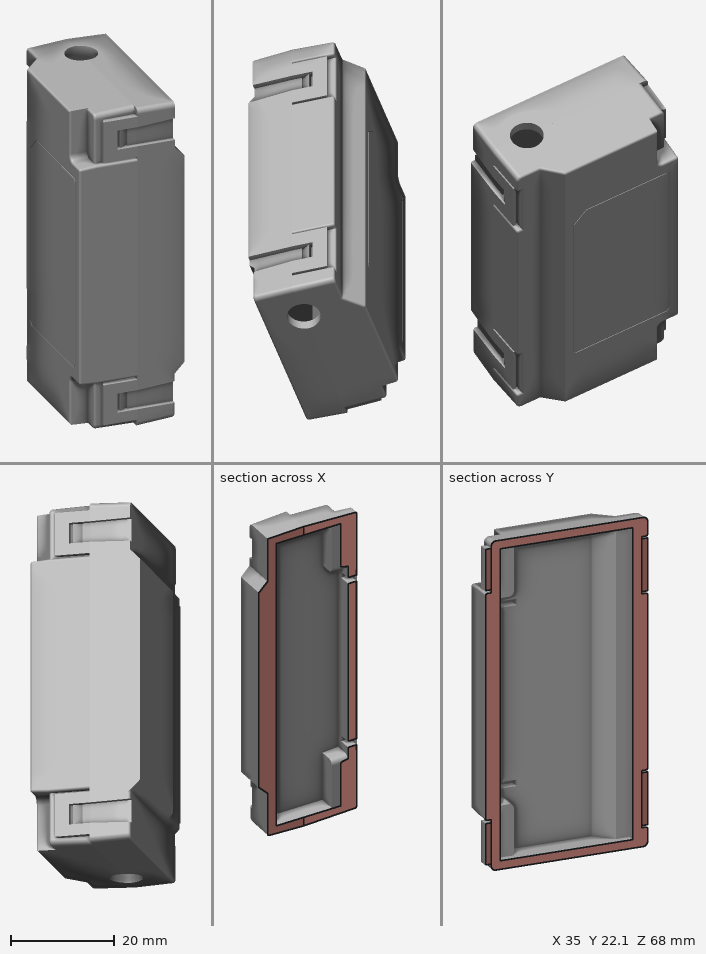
import cadquery as cq
import math

length = 68.0
width = 35.0
front_depth = 12.05
back_depth = 10.0
draft_angle = 2.0
corner_radius = 1.0
edge_radius = 0.5
wall = 2.05
half_width = width / 2
half_length = length / 2
margin = 3.4
edge_strip = 0.7
tolerance = 0.01

shoulder_depth = 8.5
bevel_front_x = -8.5
notch_x = 12.6
notch_z = 23.3
notch_radius = 1.0
notch_draft = 4.0

cable_x = -9.9
cable_diameter = 6.5

end_step_depth = 8.0
side_step_depth = 9.0
side_step_x = -7.55
plateau_half_length = 22.1
side_step_radius = 0.35
lower_edge_radius = 0.5

groove_floor_x = 16.1
groove_gap = 0.35
tongue_depth = 7.0
tongue_lead_width = 0.6
tongue_lead_height = 0.5
left_tongue_z = 24.0
left_tongue_length = 10.95
right_tongue_z = 28.15
right_tongue_length = 8.6
channel_width = 4.1
channel_depth = 1.0
window_near = 1.7
window_far = 4.15
catch_length = 1.7
catch_height = 1.0
catch_width = 3.8

label_x = 4.1
recess_width = 21.9
recess_length = 40.8
recess_depth = 0.1
recess_chamfer = 3.0
recess_radius = 1.0
label_gap = 0.3
slot_x = 10.6
slot_z = 18.55
slot_length = 4.75
slot_height = 1.3


def span_box(x_range, y_range, z_range):
    """Box between two limits along each axis, given in either order."""
    sizes = [abs(b - a) for a, b in (x_range, y_range, z_range)]
    middle = tuple((a + b) / 2 for a, b in (x_range, y_range, z_range))
    return cq.Workplane("XY").box(*sizes).translate(middle)


def prism_along_z(points, z_length, z_middle=0.0):
    """XY outline extruded along Z, half to each side of z_middle."""
    prism = cq.Workplane("XY").polyline(points).close().extrude(z_length / 2, both=True)
    return prism.translate((0, 0, z_middle))


def end_range(sign, near, far):
    """Limits from near to far on the positive or the negative side."""
    return tuple(sorted((sign * near, sign * far)))


def selection_box(x_range, y_range, z_range):
    """Selector for edges whose centres lie between two limits along each axis."""
    return cq.selectors.BoxSelector(*zip(x_range, y_range, z_range))


def drafted_half_width(y):
    """Half the width of the housing at a distance y from the parting plane."""
    return half_width - abs(y) * math.tan(math.radians(draft_angle))


def drafted_block(depth, toward_front):
    """Block that narrows from the parting plane, with rounded long corners."""
    distance = depth if toward_front else -depth
    block = cq.Workplane("XZ").rect(width, length).extrude(distance, taper=draft_angle)
    long_corners = block.edges("not(|X or |Z)")
    return long_corners.fillet(corner_radius)


def snap_places():
    """(side along X, end along Z, tongue middle Z, tongue length) for the four tongues."""
    for end in (1, -1):
        yield -1, end, end * left_tongue_z, left_tongue_length
        yield 1, end, end * right_tongue_z, right_tongue_length


def cable_hole():
    """Round hole along Z through both ends, centred on the parting plane."""
    circle = cq.Workplane("XY").center(cable_x, 0).circle(cable_diameter / 2)
    return circle.extrude(half_length + margin, both=True)


def label_plate(inset):
    """Thin plate shaped like the label recess, smaller by inset all round, flush with the front."""
    plate_width = recess_width - 2 * inset
    plate_length = recess_length - 2 * inset
    corner = recess_chamfer - inset * (2 - math.sqrt(2))
    plate = cq.Workplane("XY").box(plate_width, recess_depth, plate_length)
    plate = plate.edges("|Y and <X and >Z").chamfer(corner)
    plate = plate.edges("|Y").edges(">X or <Z").fillet(recess_radius - inset)
    return plate.translate((label_x, -front_depth + recess_depth / 2, 0))


def shoulder_cutter(inset=0.0):
    """Everything in front of the -X shoulder and its bevel, moved inwards by inset."""
    step = front_depth - shoulder_depth
    shift = inset * math.tan(math.pi / 8)
    y_front = -front_depth + inset
    y_shoulder = -shoulder_depth + inset
    x_front = bevel_front_x + shift
    x_shoulder = x_front - step
    x_out = -half_width - margin
    return prism_along_z(
        [
            (x_out, y_shoulder),
            (x_shoulder, y_shoulder),
            (x_front, y_front),
            (x_front + margin, y_front - margin),
            (x_out, y_front - margin),
        ],
        length + 2 * margin,
    )


def corner_notch(end, grow=0.0):
    """Cutter for a +X corner of the front, down to the shoulder depth, widening towards the front."""
    x_inner = notch_x - grow
    z_inner = notch_z - grow
    x_size = half_width + margin - x_inner
    z_size = half_length + margin - z_inner
    outline = cq.Sketch().rect(x_size, z_size).vertices().fillet(notch_radius)
    origin = (x_inner + x_size / 2, grow - shoulder_depth, end * (z_inner + z_size / 2))
    return cq.Workplane("XZ", origin=origin).placeSketch(outline).extrude(front_depth, taper=-notch_draft)


def groove(side, end, z_middle, tongue_length):
    """Space for a tongue; a +X groove runs from the side of the corner notch out through the end."""
    if side < 0:
        reach = tongue_length / 2 + groove_gap
        z_range = (z_middle - reach, z_middle + reach)
    else:
        z_range = (end * notch_z, end * (half_length + margin))
    return span_box((side * groove_floor_x, side * (half_width + margin)), (0, -front_depth), z_range)


def front_cavity():
    """Hollow of the front shell, kept a wall away from the shoulder and the corner notches."""
    cavity = span_box(
        (-groove_floor_x + wall, groove_floor_x - wall),
        (margin, -front_depth + wall),
        (-half_length + wall, half_length - wall),
    )
    cavity = cavity.cut(shoulder_cutter(wall))
    for end in (1, -1):
        cavity = cavity.cut(corner_notch(end, wall))
    return cavity


def catch(side, z_middle):
    """Ramp on the groove floor that reaches into the tongue window."""
    x_floor = side * groove_floor_x
    x_root = side * (groove_floor_x - wall / 2)
    y_high = -window_near - catch_length
    return prism_along_z(
        [
            (x_root, -window_near),
            (x_floor, -window_near),
            (x_floor + side * catch_height, y_high),
            (x_root, y_high),
        ],
        catch_width,
        z_middle,
    )


def round_groove_ends(shell):
    """Fillet where the floors of the +X grooves run out through the ends."""
    floor_x = (groove_floor_x - tolerance, groove_floor_x + tolerance)
    inside_y = (tolerance - shoulder_depth, -tolerance)
    picked = []
    for end in (1, -1):
        end_z = end_range(end, half_length - edge_strip, length)
        picked += shell.edges(selection_box(floor_x, inside_y, end_z)).vals()
    return shell.newObject(picked).fillet(corner_radius)


def round_front_edges(shell):
    """Fillet the edges of the front face, bevel, shoulder and notch floors, and the groove sides."""
    anywhere = (-length, length)
    front_y = (-front_depth - tolerance, -front_depth + tolerance)
    shoulder_y = (-shoulder_depth - tolerance, -shoulder_depth + tolerance)
    bevel_x = bevel_front_x - (front_depth - shoulder_depth) / 2
    boxes = [
        (anywhere, front_y, anywhere),
        ((-half_width, bevel_front_x), shoulder_y, anywhere),
        ((bevel_x - tolerance, bevel_x + tolerance), (-front_depth, -shoulder_depth), anywhere),
        ((groove_floor_x - tolerance, half_width), shoulder_y, anywhere),
    ]
    for end in (1, -1):
        end_z = end_range(end, half_length - edge_strip, half_length)
        boxes.append(((notch_x, groove_floor_x), shoulder_y, end_z))
        groove_z = end_range(end, left_tongue_z - left_tongue_length, half_length - corner_radius)
        for side in (1, -1):
            side_x = end_range(side, half_width - edge_strip, half_width)
            boxes.append((side_x, (-front_depth + tolerance, -tolerance), groove_z))
    picked = []
    for box in boxes:
        found = shell.edges(selection_box(*box)).vals()
        picked += [edge for edge in found if not any(map(edge.isSame, picked))]
    return shell.newObject(picked).fillet(edge_radius)


def label_slots():
    """Two slots through the front wall, covered by the label panel."""
    centres = [(slot_x, slot_z), (slot_x, -slot_z)]
    slots = cq.Workplane("XZ", origin=(0, -front_depth, 0)).pushPoints(centres)
    return slots.rect(slot_length, slot_height).extrude(-wall - margin)


def make_front_shell():
    shell = drafted_block(front_depth, True).cut(shoulder_cutter())
    for end in (1, -1):
        shell = shell.cut(corner_notch(end))
    for place in snap_places():
        shell = shell.cut(groove(*place))
    shell = round_groove_ends(shell)
    shell = round_front_edges(shell)
    shell = shell.cut(front_cavity()).cut(cable_hole())
    shell = shell.cut(label_plate(0)).cut(label_slots())
    for side, _, z_middle, _ in snap_places():
        shell = shell.union(catch(side, z_middle))
    return shell


def channel(side, z_middle):
    """Cut along Y, of even depth below the drafted side, that starts at the far edge of the window."""
    y_back = back_depth + margin
    x_out = side * (half_width + margin)
    depth_profile = prism_along_z(
        [
            (side * (drafted_half_width(window_far) - channel_depth), -window_far),
            (side * (half_width - channel_depth), 0),
            (side * (drafted_half_width(y_back) - channel_depth), y_back),
            (x_out, y_back),
            (x_out, -window_far),
        ],
        2 * channel_width,
        z_middle,
    )
    near = channel_width / 2
    wide = near + y_back * math.tan(math.radians(draft_angle))
    outline = [
        (-window_far, -near),
        (0, -near),
        (y_back, -wide),
        (y_back, wide),
        (0, near),
        (-window_far, near),
    ]
    widening = cq.Workplane("YZ").polyline(outline).close().extrude(half_width + margin, both=True)
    return depth_profile.intersect(widening.translate((0, 0, z_middle)))


def tongue(side, z_middle, tongue_length):
    """Tongue flush with the drafted side, with a catch window and a lead-in bevel inside its tip."""
    x_in = side * groove_floor_x
    x_base = side * half_width
    x_tip = side * drafted_half_width(tongue_depth)
    body = prism_along_z(
        [
            (x_in, 0),
            (x_base, 0),
            (x_tip, -tongue_depth),
            (x_in + side * tongue_lead_width, -tongue_depth),
            (x_in, -tongue_depth + tongue_lead_height),
        ],
        tongue_length,
        z_middle,
    )
    window = span_box(
        (x_in - side * margin, x_base + side * margin),
        (-window_near, -window_far),
        (z_middle - channel_width / 2, z_middle + channel_width / 2),
    )
    return body.cut(window)


def end_step_cutter(end):
    """Removes the raised back face at one end, leaving a 45 degree slope."""
    rise = back_depth - end_step_depth
    points = [
        (back_depth + margin, end * (plateau_half_length - margin)),
        (end_step_depth, end * (plateau_half_length + rise)),
        (end_step_depth, end * (half_length + margin)),
        (back_depth + margin, end * (half_length + margin)),
    ]
    return cq.Workplane("YZ").polyline(points).close().extrude(half_width + margin, both=True)


def side_step_cutter():
    """Removes the raised back face along the -X side, leaving a 45 degree slope."""
    rise = back_depth - side_step_depth
    return prism_along_z(
        [
            (side_step_x + margin, back_depth + margin),
            (side_step_x - rise, side_step_depth),
            (-half_width - margin, side_step_depth),
            (-half_width - margin, back_depth + margin),
        ],
        length + 2 * margin,
    )


def back_cavity():
    """Hollow of the back shell."""
    side = groove_floor_x - wall
    end = half_length - wall
    return span_box((-side, side), (-margin, end_step_depth - wall), (-end, end))


def round_side_edge(shell, y_edge, z_range, radius):
    """Fillet the long back edge of the -X side that lies at y_edge."""
    x_range = (-half_width, -half_width + edge_strip)
    edge = shell.edges(selection_box(x_range, (y_edge - tolerance, y_edge + tolerance), z_range))
    return edge.fillet(radius)


def make_back_shell():
    shell = drafted_block(back_depth, False).cut(side_step_cutter())
    shell = round_side_edge(shell, side_step_depth, (-edge_strip, edge_strip), side_step_radius)
    for end in (1, -1):
        shell = shell.cut(end_step_cutter(end))
    lower_end = (-half_length, -plateau_half_length)
    shell = round_side_edge(shell, end_step_depth, lower_end, lower_edge_radius)
    shell = shell.cut(back_cavity()).cut(cable_hole())
    for side, _, z_middle, tongue_length in snap_places():
        shell = shell.union(tongue(side, z_middle, tongue_length))
        shell = shell.cut(channel(side, z_middle))
    return shell


front_shell = make_front_shell()
back_shell = make_back_shell()
label_panel = label_plate(label_gap)

result = cq.Compound.makeCompound([front_shell.val(), back_shell.val(), label_panel.val()])